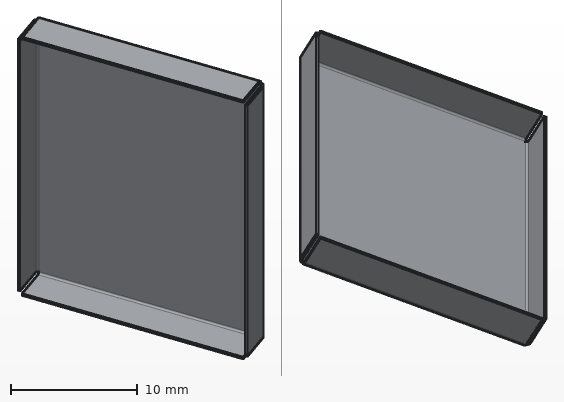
import cadquery as cq

width = 20.2
depth = 3.2
height = 25.2
thickness = 0.2
bend_radius = 0.38

inner_radius = bend_radius - thickness
back = depth / 2
front = -depth / 2
plate_width = width - 2 * bend_radius
plate_height = height - 2 * bend_radius


def bent_wall(plate_span, wall_length):
    """Bend and wall on the +X side of a plate with the given X span, centred along Z."""
    bend_x = plate_span / 2
    bend_y = back - bend_radius
    profile = (
        cq.Workplane("XY")
        .moveTo(bend_x, back)
        .radiusArc((bend_x + bend_radius, bend_y), bend_radius)
        .lineTo(bend_x + bend_radius, front)
        .lineTo(bend_x + inner_radius, front)
        .lineTo(bend_x + inner_radius, bend_y)
        .radiusArc((bend_x, back - thickness), -inner_radius)
        .close()
    )
    return profile.extrude(wall_length / 2, both=True)


def turn_about_y(body, angle):
    return body.rotate((0, 0, 0), (0, 1, 0), angle)


plate = cq.Workplane("XY").box(plate_width, thickness, plate_height)
result = plate.translate((0, back - thickness / 2, 0))

side_wall = bent_wall(plate_width, plate_height)
end_wall = bent_wall(plate_height, plate_width)
for half_turn in (0, 180):
    result = result.union(turn_about_y(side_wall, half_turn))
    result = result.union(turn_about_y(end_wall, half_turn + 90))